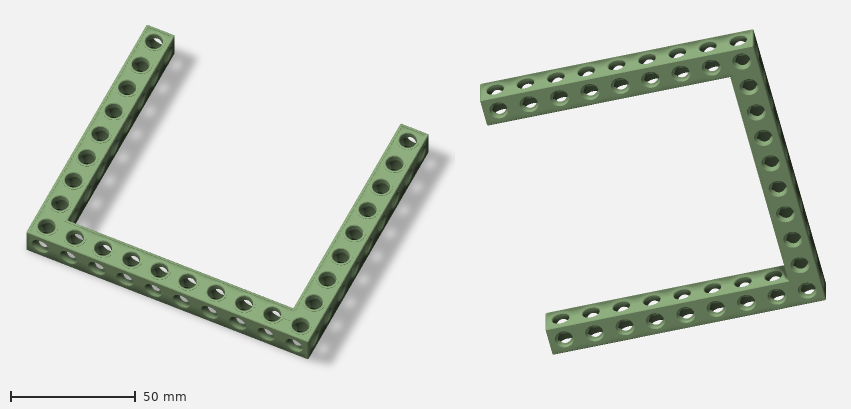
import cadquery as cq

pitch = 12.5
holes_along_x = 10
holes_along_y = 9
bar_size = pitch
chamfer = 0.3
hole_diameter = 7.0

recess_depth = 0.2
wall_width = 1.1
rib_width = 0.1

length_x = holes_along_x * pitch
length_y = holes_along_y * pitch
half_bar = bar_size / 2
far_arm_x = length_x - bar_size
ring_diameter = hole_diameter + 2 * wall_width

row_x = [(i + 0.5) * pitch for i in range(holes_along_x)]
row_y = [(j + 0.5) * pitch for j in range(holes_along_y)]
arm_centres_x = (row_x[0], row_x[-1])
vertical_centres = [(x, half_bar) for x in row_x]
vertical_centres += [(x, y) for x in arm_centres_x for y in row_y[1:]]

ALONG_X = cq.Vector(1, 0, 0)
ALONG_Y = cq.Vector(0, 1, 0)
ALONG_Z = cq.Vector(0, 0, 1)


def u_prism(inset, bottom, height):
    """U-shaped prism whose outline lies inside the frame outline by the given inset."""
    outline = [
        (inset, inset),
        (length_x - inset, inset),
        (length_x - inset, length_y - inset),
        (far_arm_x + inset, length_y - inset),
        (far_arm_x + inset, bar_size - inset),
        (bar_size - inset, bar_size - inset),
        (bar_size - inset, length_y - inset),
        (inset, length_y - inset),
    ]
    return cq.Workplane("XY").workplane(offset=bottom).polyline(outline).close().extrude(height)


def chamfered_frame():
    """Solid U-shaped frame, chamfered on every edge except its two inside corners."""
    solid = u_prism(0, 0, bar_size)
    corners = cq.selectors.BoxSelector(
        (half_bar, half_bar, 0), (length_x - half_bar, length_y - half_bar, bar_size)
    )
    concave_edges = solid.edges("|Z").edges(corners).vals()
    convex_edges = [edge for edge in solid.edges().vals() if edge not in concave_edges]
    return solid.newObject(convex_edges).chamfer(chamfer)


def top_recess():
    """Volume removed from the top face, around the hole rings and the rib between two of them."""
    floor = bar_size - recess_depth
    rings = (
        cq.Workplane("XY")
        .workplane(offset=floor)
        .pushPoints(vertical_centres)
        .circle(ring_diameter / 2)
        .extrude(recess_depth)
    )
    rib = (
        cq.Workplane("XY")
        .workplane(offset=floor)
        .center((row_x[-2] + row_x[-1]) / 2, half_bar)
        .rect(pitch - hole_diameter, rib_width)
        .extrude(recess_depth)
    )
    return u_prism(wall_width, floor, recess_depth).cut(rings).cut(rib)


def hole_cutter(start, direction, length):
    """Round hole of the given length, with a small chamfer at each mouth."""
    bore = hole_diameter / 2
    mouth = bore + chamfer
    start = cq.Vector(*start)
    far_cone_start = start + direction * (length - chamfer)
    shaft = cq.Solid.makeCylinder(bore, length, start, direction)
    near_cone = cq.Solid.makeCone(mouth, bore, chamfer, start, direction)
    far_cone = cq.Solid.makeCone(bore, mouth, chamfer, far_cone_start, direction)
    return shaft.fuse(near_cone, far_cone)


cutters = [hole_cutter((x, y, 0), ALONG_Z, bar_size) for x, y in vertical_centres]

for x in row_x:
    depth = length_y if x in arm_centres_x else bar_size
    cutters.append(hole_cutter((x, 0, half_bar), ALONG_Y, depth))

cutters.append(hole_cutter((0, row_y[0], half_bar), ALONG_X, length_x))
for y in row_y[1:]:
    for arm_x in (0, far_arm_x):
        cutters.append(hole_cutter((arm_x, y, half_bar), ALONG_X, bar_size))

frame = chamfered_frame().cut(top_recess())
result = cq.Workplane(frame.val().cut(*cutters))